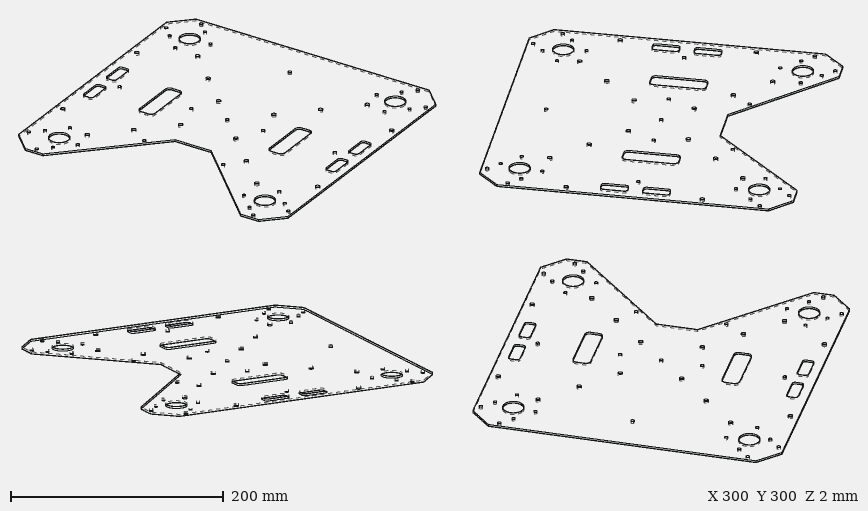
import cadquery as cq
import math

SIDE = 300.0
THICKNESS = 2.0
CORNER_CUT = 20.0
NOTCH_TOP_HALF_WIDTH = 20.0
NOTCH_DEPTH = 90.0

MOTOR_BORE_DIAMETER = 20.0
MOTOR_BORE_DISTANCE = 162.0
MOUNT_HOLE_DIAMETER = 3.0
MOUNT_HOLE_SPACING = 34.0
MOUNT_HOLE_DISTANCES = (148.0, 172.0)
CORNER_HOLE_DIAMETER = 3.3
CORNER_HOLE_DISTANCE = 187.5

ARM_HOLE_DIAMETER = 4.2
ARM_HOLE_PITCH = 45.0
ARM_HOLES_PER_ROW = 3
ARM_ROW_STARTS = {45: 45.0, 135: 37.5, 225: 45.0, 315: 37.5}

CENTRE_HOLE_DIAMETER = 3.3
CENTRE_ROW_X = (40.0, 120.0)
TOP_HOLE_Y = 110.0
NOTCH_HOLE_X = 43.8
NOTCH_HOLE_Y = -76.5
EDGE_HOLE_DIAMETER = 4.2
EDGE_HOLE_X = 142.0
EDGE_HOLE_Y = 65.0

STRAP_SLOT_WIDTH = 11.0
STRAP_SLOT_LENGTH = 26.0
STRAP_SLOT_RADIUS = 3.0
STRAP_SLOT_X = 135.0
STRAP_SLOT_Y = 20.0
WINDOW_WIDTH = 17.0
WINDOW_LENGTH = 54.0
WINDOW_RADIUS = 4.5
WINDOW_X = 72.3
WINDOW_Y = -3.5

DIAGONAL_ANGLES = tuple(ARM_ROW_STARTS)


def diagonal_point(angle, along, across=0.0):
    """Point at a distance along a direction from the centre, shifted sideways."""
    cosine = math.cos(math.radians(angle))
    sine = math.sin(math.radians(angle))
    return (along * cosine - across * sine, along * sine + across * cosine)


def mirrored_in_x(x, y):
    return [(-x, y), (x, y)]


def mirrored_in_x_and_y(x, y):
    return mirrored_in_x(x, y) + mirrored_in_x(x, -y)


def make_plate():
    """Square plate with cut corners and a 45 degree notch in the -Y side."""
    half = SIDE / 2
    cut = half - CORNER_CUT
    right_half = [
        (NOTCH_TOP_HALF_WIDTH, NOTCH_DEPTH - half),
        (NOTCH_TOP_HALF_WIDTH + NOTCH_DEPTH, -half),
        (cut, -half),
        (half, -cut),
        (half, cut),
        (cut, half),
    ]
    left_half = [(-x, y) for x, y in reversed(right_half)]
    return cq.Workplane("XY").polyline(right_half + left_half).close().extrude(THICKNESS)


def cut_holes(plate, points, diameter):
    drills = cq.Workplane("XY").pushPoints(points).circle(diameter / 2).extrude(THICKNESS)
    return plate.cut(drills)


def cut_rounded_slots(plate, points, width, length, radius):
    slots = cq.Workplane("XY").pushPoints(points).rect(width, length).extrude(THICKNESS)
    return plate.cut(slots.edges("|Z").fillet(radius))


def cut_motor_mounts(plate):
    half_spacing = MOUNT_HOLE_SPACING / 2
    bores = []
    mount_holes = []
    corner_holes = []
    for angle in DIAGONAL_ANGLES:
        bores.append(diagonal_point(angle, MOTOR_BORE_DISTANCE))
        for across in (-half_spacing, half_spacing):
            corner_holes.append(diagonal_point(angle, CORNER_HOLE_DISTANCE, across))
            for along in MOUNT_HOLE_DISTANCES:
                mount_holes.append(diagonal_point(angle, along, across))
    plate = cut_holes(plate, bores, MOTOR_BORE_DIAMETER)
    plate = cut_holes(plate, mount_holes, MOUNT_HOLE_DIAMETER)
    return cut_holes(plate, corner_holes, CORNER_HOLE_DIAMETER)


def cut_arm_holes(plate):
    points = [
        diagonal_point(angle, start + i * ARM_HOLE_PITCH)
        for angle, start in ARM_ROW_STARTS.items()
        for i in range(ARM_HOLES_PER_ROW)
    ]
    return cut_holes(plate, points, ARM_HOLE_DIAMETER)


def cut_centre_holes(plate):
    points = [(0, 0), (0, TOP_HOLE_Y)]
    for x in CENTRE_ROW_X:
        points += mirrored_in_x(x, 0)
    points += mirrored_in_x(NOTCH_HOLE_X, NOTCH_HOLE_Y)
    return cut_holes(plate, points, CENTRE_HOLE_DIAMETER)


plate = make_plate()
plate = cut_motor_mounts(plate)
plate = cut_arm_holes(plate)
plate = cut_centre_holes(plate)
plate = cut_holes(plate, mirrored_in_x_and_y(EDGE_HOLE_X, EDGE_HOLE_Y), EDGE_HOLE_DIAMETER)
plate = cut_rounded_slots(
    plate,
    mirrored_in_x_and_y(STRAP_SLOT_X, STRAP_SLOT_Y),
    STRAP_SLOT_WIDTH,
    STRAP_SLOT_LENGTH,
    STRAP_SLOT_RADIUS,
)
plate = cut_rounded_slots(
    plate,
    mirrored_in_x(WINDOW_X, WINDOW_Y),
    WINDOW_WIDTH,
    WINDOW_LENGTH,
    WINDOW_RADIUS,
)
result = plate